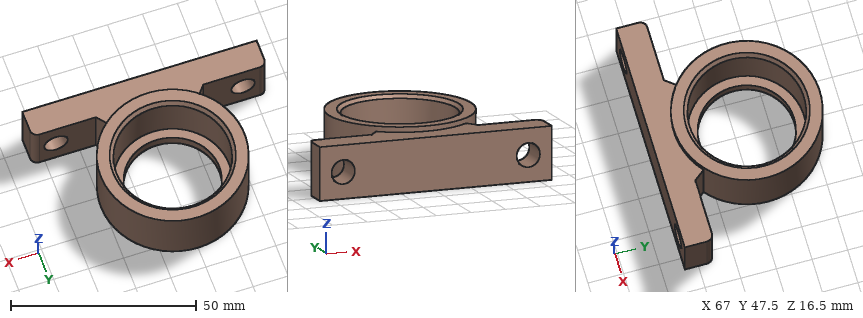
import cadquery as cq

plate_length = 67.0
plate_thickness = 8.2
plate_height = 15.0
corner_radius = 2.0

ring_diameter = 41.0
ring_height = 16.5
overall_depth = 47.5
ring_center_y = overall_depth - ring_diameter / 2
bearing_diameter = 32.0
through_diameter = 26.5
floor_thickness = 3.0
bore_chamfer = 1.0

neck_base_half_width = 15.35
neck_top_half_width = 13.0
neck_top_y = 11.1

hole_diameter = 6.7
hole_spacing = 53.45
hole_z = plate_height / 2


def make_plate():
    plate = cq.Workplane("XY").box(
        plate_length, plate_thickness, plate_height, centered=(True, False, False)
    )
    return plate.edges("|Z and >Y").fillet(corner_radius)


def make_neck():
    outline = [
        (-neck_base_half_width, 0),
        (-neck_base_half_width, plate_thickness),
        (-neck_top_half_width, neck_top_y),
        (neck_top_half_width, neck_top_y),
        (neck_base_half_width, plate_thickness),
        (neck_base_half_width, 0),
    ]
    return cq.Workplane("XY").polyline(outline).close().extrude(plate_height)


def make_ring():
    return cq.Workplane("XY").center(0, ring_center_y).circle(ring_diameter / 2).extrude(ring_height)


def make_bore():
    """Stepped bore with a chamfered mouth, revolved about the ring axis."""
    bearing_radius = bearing_diameter / 2
    through_radius = through_diameter / 2
    profile = [
        (0, 0),
        (through_radius, 0),
        (through_radius, floor_thickness),
        (bearing_radius, floor_thickness),
        (bearing_radius, ring_height - bore_chamfer),
        (bearing_radius + bore_chamfer, ring_height),
        (0, ring_height),
    ]
    bore = cq.Workplane("XZ").polyline(profile).close().revolve(360, (0, 0), (0, 1))
    return bore.translate((0, ring_center_y, 0))


def make_mounting_holes():
    centers = [(side * hole_spacing / 2, hole_z) for side in (-1, 1)]
    return cq.Workplane("XZ").pushPoints(centers).circle(hole_diameter / 2).extrude(-plate_thickness)


body = make_plate().union(make_neck()).union(make_ring())
result = body.cut(make_bore()).cut(make_mounting_holes())